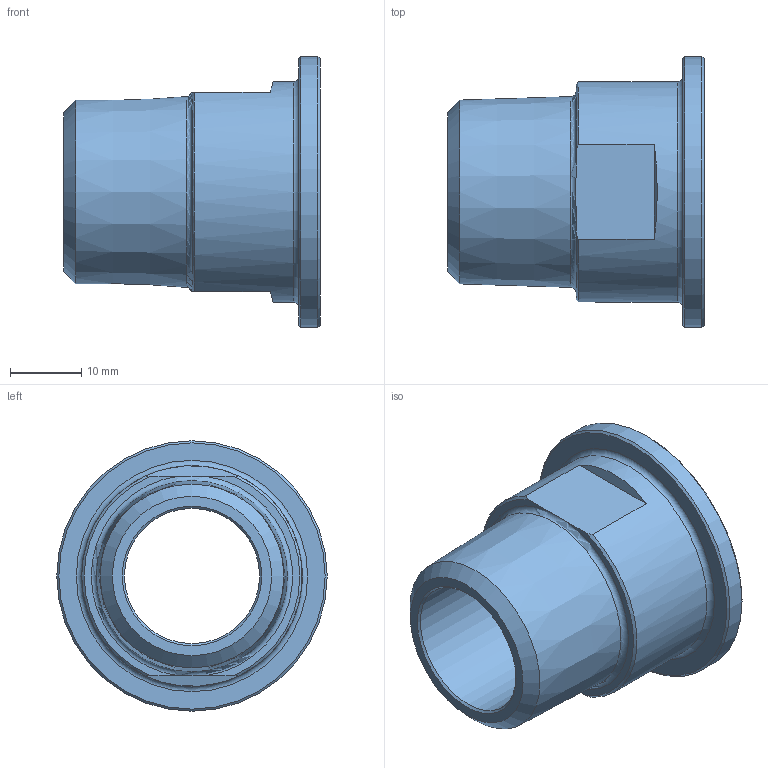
import cadquery as cq
import math

total_length = 36.0
shoulder_x = 18.0
flange_thickness = 3.0
flange_x = total_length - flange_thickness

bore_radius = 19.0 / 2
spigot_tip_radius = 11.2
spigot_radius = 12.91
body_radius = 31.0 / 2
flange_radius = 38.0 / 2

tip_chamfer_length = 1.65
root_fillet = 0.75
shoulder_chamfer = 0.35
edge_chamfer = 0.3

spigot_taper = 1 / 16

flat_height = 14.0
flat_end_x = 29.0
flat_end_angle = 15.0


def turned_body():
    """Spigot, body and flange revolved around the X axis, with the bore left open."""
    spigot_root_x = shoulder_x - root_fillet
    spigot_root_radius = spigot_radius + (spigot_root_x - tip_chamfer_length) * spigot_taper / 2
    profile = (
        cq.Workplane("XY")
        .moveTo(edge_chamfer, bore_radius)
        .lineTo(0, bore_radius + edge_chamfer)
        .lineTo(0, spigot_tip_radius)
        .lineTo(tip_chamfer_length, spigot_radius)
        .lineTo(spigot_root_x, spigot_root_radius)
        .radiusArc((shoulder_x, spigot_root_radius + root_fillet), -root_fillet)
        .lineTo(shoulder_x, body_radius - shoulder_chamfer)
        .lineTo(shoulder_x + shoulder_chamfer, body_radius)
        .lineTo(flange_x - root_fillet, body_radius)
        .radiusArc((flange_x, body_radius + root_fillet), -root_fillet)
        .lineTo(flange_x, flange_radius - edge_chamfer)
        .lineTo(flange_x + edge_chamfer, flange_radius)
        .lineTo(total_length - edge_chamfer, flange_radius)
        .lineTo(total_length, flange_radius - edge_chamfer)
        .lineTo(total_length, bore_radius)
        .close()
    )
    return profile.revolve(360, (0, 0, 0), (1, 0, 0))


def flat_cutter():
    """Block removed above the upper flat; its far end leans outward toward the flange."""
    start_x = shoulder_x - root_fillet
    cut_height = flange_radius - flat_height
    lean = cut_height * math.tan(math.radians(flat_end_angle))
    return (
        cq.Workplane("XZ")
        .moveTo(start_x, flat_height)
        .lineTo(flat_end_x, flat_height)
        .lineTo(flat_end_x + lean, flange_radius)
        .lineTo(start_x, flange_radius)
        .close()
        .extrude(flange_radius, both=True)
    )


result = turned_body()
for turn in (0, 180):
    result = result.cut(flat_cutter().rotate((0, 0, 0), (1, 0, 0), turn))